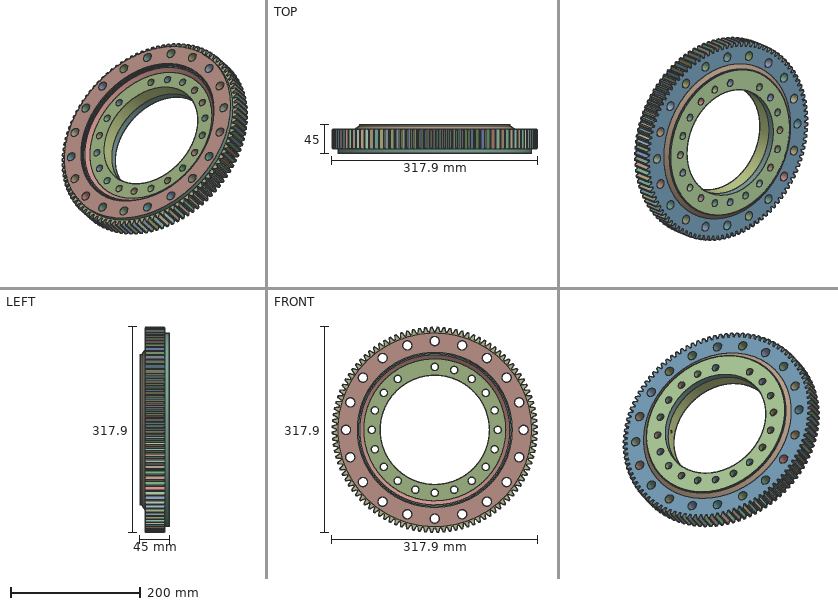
import cadquery as cq
import math


total_width = 45.0

module = 3.0
tooth_count = 104
pressure_angle = math.radians(20)
pitch_radius = module * tooth_count / 2
base_radius = pitch_radius * math.cos(pressure_angle)
tip_radius = pitch_radius + module
root_radius = pitch_radius - 1.25 * module
tooth_pitch = 2 * math.pi / tooth_count
tooth_front = 7.0
tooth_back = 37.5
tip_chamfer = 1.0
tooth_sink = 0.5

hub_radius = 150.0
outer_bore_radius = 118.3
front_step_radius = 120.2
front_step_depth = 2.75
outer_bolt_circle_radius = 137.5
outer_bolt_diameter = 14.0

inner_front = 10.5
split_position = 33.7
inner_bore_radius = 84.5
inner_outer_radius = 116.5
inner_bolt_circle_radius = 97.5
inner_bolt_diameter = 11.0

bolt_count = 20
bolt_spacing = 360 / bolt_count
empty_bolt_angle = 108.0

grease_hole_diameter = 4.0
grease_hole_depth = 10.0
grease_hole_angle = bolt_spacing / 2
grease_hole_position = inner_front + 12.8

front_lip_radius = 110.0
front_seal_face = 5.5
front_seal_inner_radius = 116.2
back_lip_radius = 124.4
back_lip_end = 42.1
back_lip_land = 1.0


def revolved(profile):
    """Turn a list of (radius, Y) points around the Y axis."""
    return cq.Workplane("XY").polyline(profile).close().revolve(360, (0, 0), (0, 1))


def polar(radius, angle):
    return (radius * math.cos(angle), radius * math.sin(angle))


def half_tooth_angle(radius):
    """Half the angle that one involute tooth spans at a radius."""
    flank_angle = math.acos(base_radius / radius)
    involute = math.tan(flank_angle) - flank_angle
    pitch_involute = math.tan(pressure_angle) - pressure_angle
    return tooth_pitch / 4 + pitch_involute - involute


def gear_tooth():
    """One involute tooth pointing along +X, chamfered at both ends and sunk slightly into the root disc."""
    tip_half = half_tooth_angle(tip_radius)
    pitch_half = half_tooth_angle(pitch_radius)
    root_half = half_tooth_angle(root_radius)
    sunk_radius = root_radius - tooth_sink
    tooth = (
        cq.Workplane("XZ", origin=(0, tooth_front, 0))
        .moveTo(*polar(sunk_radius, -root_half))
        .lineTo(*polar(root_radius, -root_half))
        .threePointArc(polar(pitch_radius, -pitch_half), polar(tip_radius, -tip_half))
        .threePointArc(polar(tip_radius, 0), polar(tip_radius, tip_half))
        .threePointArc(polar(pitch_radius, pitch_half), polar(root_radius, root_half))
        .lineTo(*polar(sunk_radius, root_half))
        .close()
        .extrude(tooth_front - tooth_back)
    )
    chamfered_disc = revolved([
        (0, tooth_front),
        (tip_radius - tip_chamfer, tooth_front),
        (tip_radius, tooth_front + tip_chamfer),
        (tip_radius, tooth_back - tip_chamfer),
        (tip_radius - tip_chamfer, tooth_back),
        (0, tooth_back),
    ])
    return tooth.intersect(chamfered_disc).val()


def gear_blank():
    """Front hub and root disc with all the teeth; tooth gaps are centred on the X and Z axes."""
    body = revolved([
        (0, 0),
        (hub_radius, 0),
        (hub_radius, tooth_front),
        (root_radius, tooth_front),
        (root_radius, tooth_back),
        (0, tooth_back),
    ])
    tooth = gear_tooth()
    teeth = [
        tooth.rotate((0, 0, 0), (0, 1, 0), (i + 0.5) * 360 / tooth_count)
        for i in range(tooth_count)
    ]
    return cq.Workplane(body.val().fuse(*teeth))


def bolt_holes(circle_radius, diameter, empty_angles=()):
    """Cylinders along Y for a bolt circle, as long as the bearing is wide."""
    angles = [i * bolt_spacing for i in range(bolt_count) if i * bolt_spacing not in empty_angles]
    centres = [polar(circle_radius, math.radians(angle)) for angle in angles]
    return cq.Workplane("XZ").pushPoints(centres).circle(diameter / 2).extrude(-total_width)


def make_outer_ring():
    bore = revolved([
        (0, 0),
        (front_step_radius, 0),
        (front_step_radius, front_step_depth),
        (outer_bore_radius, front_step_depth),
        (outer_bore_radius, tooth_back),
        (0, tooth_back),
    ])
    ring = gear_blank().cut(bore)
    return ring.cut(bolt_holes(outer_bolt_circle_radius, outer_bolt_diameter))


def make_inner_ring(front, back):
    ring = revolved([
        (inner_bore_radius, front),
        (inner_outer_radius, front),
        (inner_outer_radius, back),
        (inner_bore_radius, back),
    ])
    return ring.cut(bolt_holes(inner_bolt_circle_radius, inner_bolt_diameter, (empty_bolt_angle,)))


def grease_hole():
    angle = math.radians(grease_hole_angle)
    direction = cq.Vector(math.cos(angle), 0, math.sin(angle))
    start_radius = inner_bore_radius - grease_hole_diameter
    start = direction * start_radius + cq.Vector(0, grease_hole_position, 0)
    length = grease_hole_depth + grease_hole_diameter
    return cq.Workplane(cq.Solid.makeCylinder(grease_hole_diameter / 2, length, start, direction))


outer_ring = make_outer_ring()

inner_front_ring = make_inner_ring(inner_front, split_position).cut(grease_hole())

inner_back_ring = make_inner_ring(split_position, total_width)

front_seal = revolved([
    (front_lip_radius, inner_front),
    (front_seal_inner_radius, front_seal_face),
    (outer_bore_radius, front_seal_face),
    (outer_bore_radius, inner_front),
])

back_seal = revolved([
    (inner_outer_radius, tooth_back),
    (back_lip_radius, tooth_back),
    (inner_outer_radius + back_lip_land, back_lip_end),
    (inner_outer_radius, back_lip_end),
])

result = cq.Compound.makeCompound([
    outer_ring.val(),
    inner_front_ring.val(),
    inner_back_ring.val(),
    front_seal.val(),
    back_seal.val(),
])